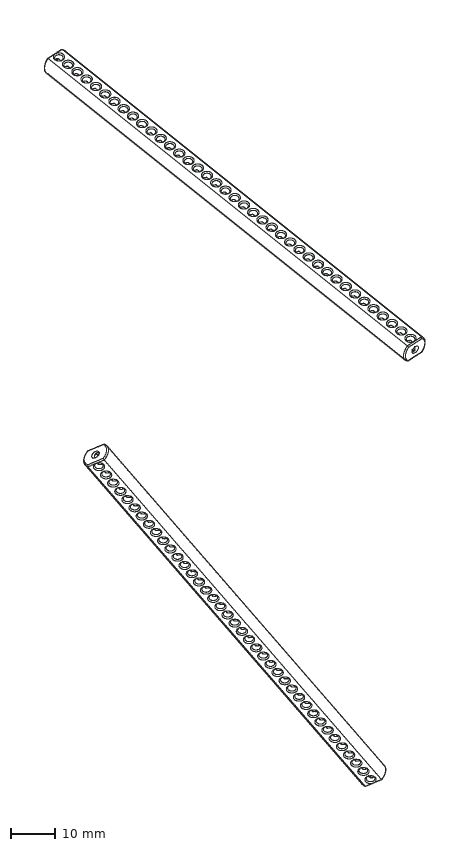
import cadquery as cq

length = 121.9
body_diameter = 6.6
thickness = 5.0
hole_count = 39
hole_diameter = 2.0
hole_chamfer = 0.3
bore_diameter = 2.0
end_chamfer = 0.3

hole_pitch = length / hole_count

rod = cq.Workplane("YZ").circle(body_diameter / 2).extrude(length / 2, both=True)

flats_envelope = cq.Workplane("XY").box(length, body_diameter, thickness)
body = rod.intersect(flats_envelope)

body = body.faces("<X or >X").chamfer(end_chamfer)

bore = cq.Workplane("YZ").circle(bore_diameter / 2).extrude(length / 2, both=True)


def chamfered_hole():
    """Solid plug for one vertical through hole, widened to a cone at both flats."""
    radius = hole_diameter / 2
    mouth_radius = radius + hole_chamfer
    top = thickness / 2
    cone_start = top - hole_chamfer
    profile = [
        (0, -top),
        (mouth_radius, -top),
        (radius, -cone_start),
        (radius, cone_start),
        (mouth_radius, top),
        (0, top),
    ]
    return cq.Workplane("XZ").polyline(profile).close().revolve(360, (0, 0), (0, 1)).val()


cross_holes = (
    cq.Workplane("XY")
    .rarray(hole_pitch, 1.2, hole_count, 1)
    .eachpoint(chamfered_hole(), combine=False)
)

result = body.cut(cross_holes).cut(bore)